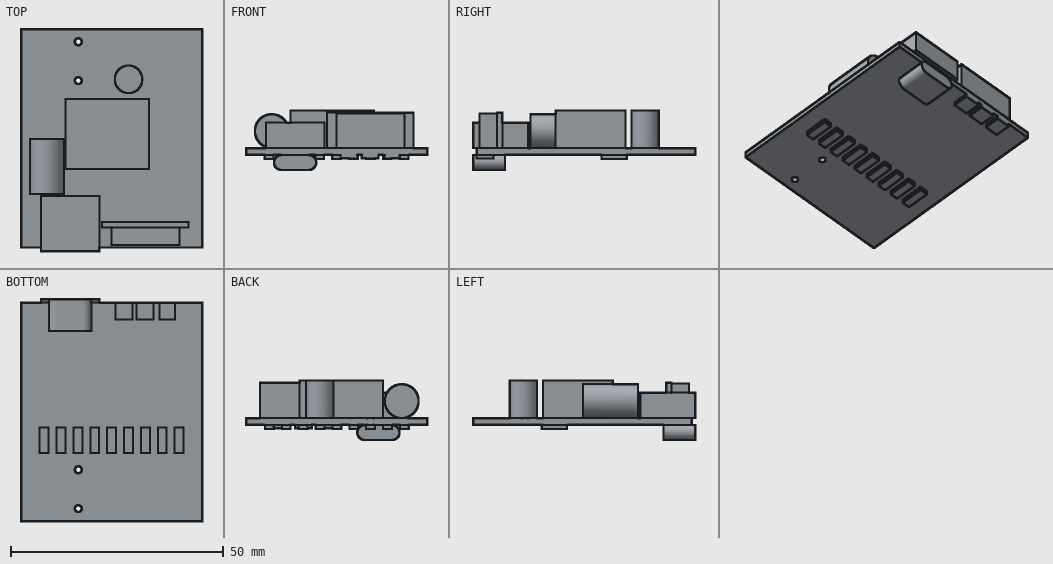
import cadquery as cq

TOTAL_LENGTH = 52.4
TOTAL_HEIGHT = 14.1

BOARD_WIDTH = 42.7
BOARD_LENGTH = 51.55
BOARD_THICKNESS = 1.6
HOLE_DIAMETER = 1.55
HOLE_X = 13.45
HOLE_YS = (39.4, 48.6)

FRONT_OVERHANG = TOTAL_LENGTH - BOARD_LENGTH

TALL_HEIGHT = 8.9
TRANSFORMER_WIDTH = 19.7
TRANSFORMER_LENGTH = 16.5
TRANSFORMER_X = 10.45
TRANSFORMER_Y = 18.6

POST_DIAMETER = 6.5
POST_X = 25.3
POST_Y = 39.7

JACK_WIDTH = 13.85
JACK_LENGTH = 13.05
JACK_HEIGHT = 5.95
JACK_X = 4.6

FLANGE_WIDTH = 20.5
FLANGE_THICKNESS = 1.25
FLANGE_HEIGHT = 8.4
FLANGE_X = 19.0
FLANGE_Y = 4.75
PLUG_WIDTH = 16.05
PLUG_LENGTH = 4.15
PLUG_HEIGHT = 8.2
PLUG_X = FLANGE_X + (FLANGE_WIDTH - PLUG_WIDTH) / 2

CRYSTAL_WIDTH = 10.0
CRYSTAL_LENGTH = 7.55
CRYSTAL_HEIGHT = TOTAL_HEIGHT - TALL_HEIGHT - BOARD_THICKNESS
CRYSTAL_CENTER_X = 11.55

PAD_COUNT = 9
PAD_WIDTH = 2.1
PAD_LENGTH = 6.0
PAD_HEIGHT = 1.0
PAD_PITCH = 4.0
PAD_X = 4.35
PAD_Y = 29.4

TAB_HEIGHT = 0.8
TAB_LENGTH = 4.0
TAB_WIDTH = 4.0
LAST_TAB_WIDTH = 3.6
TAB_PITCH = 5.05
FIRST_TAB_RIGHT = 26.2
TAB_WIDTHS = (TAB_WIDTH, TAB_WIDTH, LAST_TAB_WIDTH)

CAPACITOR_DIAMETER = 8.0
CAPACITOR_LENGTH = 13.05
CAPACITOR_X = 6.0
CAPACITOR_Y = 12.65


def block(x, y, z, width, length, height):
    """Box with its left, front, lower corner at (x, y, z)."""
    return cq.Workplane("XY").box(width, length, height, centered=False).translate((x, y, z))


def block_above(x, y, width, length, height):
    """Box standing on the upper face of the board."""
    return block(x, y, BOARD_THICKNESS, width, length, height)


def block_below(x, y, width, length, height):
    """Box hanging from the underside of the board."""
    return block(x, y, -height, width, length, height)


def make_bare_board():
    board = block(0, 0, 0, BOARD_WIDTH, BOARD_LENGTH, BOARD_THICKNESS)
    holes = (
        cq.Workplane("XY")
        .pushPoints([(HOLE_X, y) for y in HOLE_YS])
        .circle(HOLE_DIAMETER / 2)
        .extrude(BOARD_THICKNESS)
    )
    return board.cut(holes)


def make_post():
    return (
        cq.Workplane("XY", origin=(POST_X, POST_Y, BOARD_THICKNESS))
        .circle(POST_DIAMETER / 2)
        .extrude(TALL_HEIGHT)
    )


def make_crystal():
    """Flat can with fully rounded sides, lying along Y."""
    return (
        cq.Workplane("XZ", origin=(CRYSTAL_CENTER_X, -FRONT_OVERHANG, -CRYSTAL_HEIGHT / 2))
        .slot2D(CRYSTAL_WIDTH, CRYSTAL_HEIGHT)
        .extrude(-CRYSTAL_LENGTH)
    )


def make_board():
    """Board in one piece with its fixed parts."""
    board = make_bare_board()
    board = board.union(
        block_above(TRANSFORMER_X, TRANSFORMER_Y, TRANSFORMER_WIDTH, TRANSFORMER_LENGTH, TALL_HEIGHT)
    )
    board = board.union(make_post())
    board = board.union(block_above(JACK_X, -FRONT_OVERHANG, JACK_WIDTH, JACK_LENGTH, JACK_HEIGHT))

    board = board.union(block_above(FLANGE_X, FLANGE_Y, FLANGE_WIDTH, FLANGE_THICKNESS, FLANGE_HEIGHT))
    plug_y = FLANGE_Y - PLUG_LENGTH
    board = board.union(block_above(PLUG_X, plug_y, PLUG_WIDTH, PLUG_LENGTH, PLUG_HEIGHT))

    board = board.union(make_crystal())

    for i in range(PAD_COUNT):
        board = board.union(block_below(PAD_X + i * PAD_PITCH, PAD_Y, PAD_WIDTH, PAD_LENGTH, PAD_HEIGHT))

    for i, width in enumerate(TAB_WIDTHS):
        tab_x = FIRST_TAB_RIGHT + i * TAB_PITCH - width
        board = board.union(block_below(tab_x, 0, width, TAB_LENGTH, TAB_HEIGHT))
    return board.clean()


def make_capacitor():
    axis_z = BOARD_THICKNESS + CAPACITOR_DIAMETER / 2
    return (
        cq.Workplane("XZ", origin=(CAPACITOR_X, CAPACITOR_Y, axis_z))
        .circle(CAPACITOR_DIAMETER / 2)
        .extrude(-CAPACITOR_LENGTH)
    )


board = make_board()
capacitor = make_capacitor()

result = cq.Compound.makeCompound([board.val(), capacitor.val()])